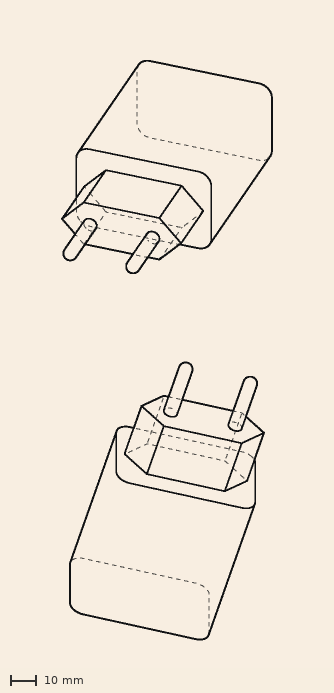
import cadquery as cq

total_length = 115.4
body_width = 55.6
body_height = 35.3
body_length = 66.6
corner_radius = 5.4

plug_length = 24.3
plug_width = 49.0
plug_flat_width = 31.2
plug_height = 19.2

pin_diameter = 5.4
pin_spacing = 25.8
pin_radius = pin_diameter / 2

back_y = total_length / 2
body_front_y = back_y - body_length
plug_front_y = body_front_y - plug_length
pin_tip_y = -total_length / 2


def section_plane(y):
    """XZ plane at the given Y, whose extrusions run toward -Y."""
    return cq.Workplane("XZ", origin=(0, y, 0))


def make_body():
    """Box with its four lengthwise edges rounded."""
    box = section_plane(back_y).rect(body_width, body_height).extrude(body_length)
    return box.edges("|Y").fillet(corner_radius)


def make_plug():
    """Six-sided block with pointed left and right sides."""
    half_width = plug_width / 2
    half_flat = plug_flat_width / 2
    half_height = plug_height / 2
    outline = [
        (-half_width, 0),
        (-half_flat, half_height),
        (half_flat, half_height),
        (half_width, 0),
        (half_flat, -half_height),
        (-half_flat, -half_height),
    ]
    return section_plane(body_front_y).polyline(outline).close().extrude(plug_length)


def make_pin(x):
    """Round pin ending in a hemisphere."""
    shank_length = plug_front_y - pin_tip_y - pin_radius
    shank = section_plane(plug_front_y).center(x, 0).circle(pin_radius).extrude(shank_length)
    tip = cq.Workplane("XY", origin=(x, pin_tip_y + pin_radius, 0)).sphere(pin_radius)
    return shank.union(tip)


result = make_body().union(make_plug())
for side in (-1, 1):
    result = result.union(make_pin(side * pin_spacing / 2))